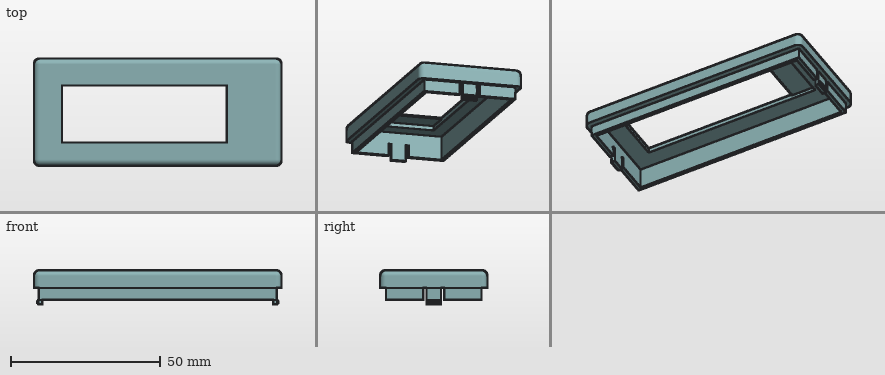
import cadquery as cq

LENGTH = 83.0
WIDTH = 36.0
RIM_HEIGHT = 6.0
EDGE_RADIUS = 2.0
PLATE_THICKNESS = 2.0

SKIRT_LENGTH = 79.8
SKIRT_WIDTH = 32.0
SKIRT_BOTTOM = -10.0
END_WALL = 1.3
SIDE_WALL = 1.0

WINDOW_X_MIN = -32.0
WINDOW_X_MAX = 23.1
WINDOW_Y_MIN = -10.1
WINDOW_Y_MAX = 8.9

LIP_THICKNESS = 0.5
RECESS_X_MAX = -WINDOW_X_MIN

TAB_WIDTH = 5.0
TAB_BOTTOM = -11.5
SLOT_WIDTH = 1.0
HOOK_REACH = 0.5
HOOK_TAPER = 45.0


def box(x_range, y_range, z_range):
    """Axis-aligned box given by its limits along X, Y and Z."""
    lows, highs = zip(x_range, y_range, z_range)
    sizes = [high - low for low, high in zip(lows, highs)]
    return cq.Workplane("XY").box(*sizes, centered=False).translate(lows)


def centred_box(length, width, z_range):
    """Box centred on the Z axis."""
    return box((-length / 2, length / 2), (-width / 2, width / 2), z_range)


def make_rim():
    """Outer cover with rounded corners and a rounded top edge."""
    rim = centred_box(LENGTH, WIDTH, (-RIM_HEIGHT, 0))
    return rim.edges("|Z or >Z").fillet(EDGE_RADIUS)


def make_cavity():
    """Space enclosed by the skirt, below the face plate."""
    inner_length = SKIRT_LENGTH - 2 * END_WALL
    inner_width = SKIRT_WIDTH - 2 * SIDE_WALL
    return centred_box(inner_length, inner_width, (TAB_BOTTOM, -PLATE_THICKNESS))


def make_window():
    """Window through the face plate, with the recess under its +X lip."""
    y_range = (WINDOW_Y_MIN, WINDOW_Y_MAX)
    z_bottom = -PLATE_THICKNESS
    opening = box((WINDOW_X_MIN, WINDOW_X_MAX), y_range, (z_bottom, 0))
    recess = box((WINDOW_X_MAX, RECESS_X_MAX), y_range, (z_bottom, -LIP_THICKNESS))
    return opening.union(recess)


def make_tab_clearance():
    """Gap through both end walls that frees the tabs from the skirt."""
    return centred_box(LENGTH, TAB_WIDTH + 2 * SLOT_WIDTH, (SKIRT_BOTTOM, -RIM_HEIGHT))


def make_tab():
    """Snap tab on the -X end wall, with a tapered hook on its outer face."""
    outer_x = -SKIRT_LENGTH / 2
    tab = box(
        (outer_x, outer_x + END_WALL),
        (-TAB_WIDTH / 2, TAB_WIDTH / 2),
        (TAB_BOTTOM, -RIM_HEIGHT),
    )
    hook_height = SKIRT_BOTTOM - TAB_BOTTOM
    hook_middle = (SKIRT_BOTTOM + TAB_BOTTOM) / 2
    hook = (
        cq.Workplane("YZ", origin=(outer_x, 0, hook_middle))
        .rect(TAB_WIDTH, hook_height)
        .extrude(-HOOK_REACH, taper=HOOK_TAPER)
    )
    return tab.union(hook)


skirt = centred_box(SKIRT_LENGTH, SKIRT_WIDTH, (SKIRT_BOTTOM, -RIM_HEIGHT))
frame = make_rim().union(skirt).cut(make_cavity()).cut(make_window()).cut(make_tab_clearance())

tab = make_tab()
result = frame.union(tab).union(tab.mirror("YZ"))